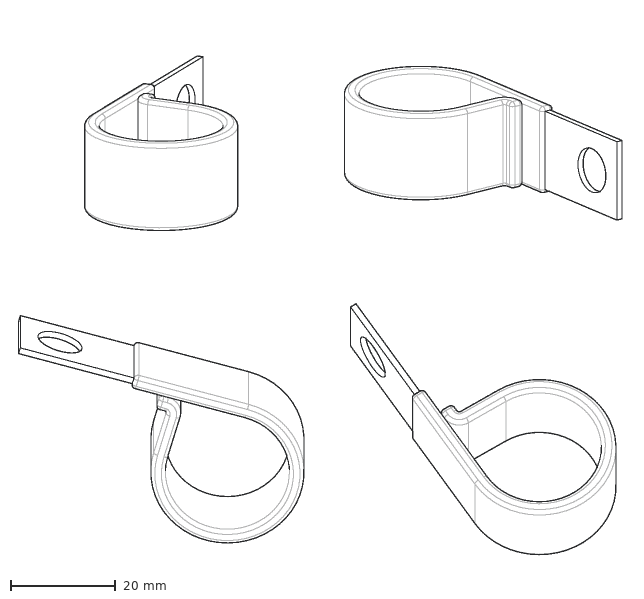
import cadquery as cq
import math

overall_length = 59.9
loop_outer_radius = 14.7
band_height = 17.4
strap_thickness = 1.25
cushion_thickness = 0.8
band_end_y = 22.6

lip_end_y = 16.8
lip_bend_inner_radius = 0.5
lip_gap = 0.05

hole_diameter = 8.75
hole_end_distance = 7.9

band_thickness = strap_thickness + 2 * cushion_thickness
loop_inner_radius = loop_outer_radius - band_thickness
strap_height = band_height - 2 * cushion_thickness
strap_end_y = overall_length - loop_outer_radius
strap_center_x = -(loop_outer_radius + loop_inner_radius) / 2

lip_bend_outer_radius = lip_bend_inner_radius + band_thickness
lip_left_x = -loop_inner_radius + lip_gap
lip_right_x = lip_left_x + band_thickness
bend_center_x = lip_left_x + lip_bend_outer_radius
bend_center_y = loop_outer_radius + lip_bend_inner_radius


def bend_midpoint(radius):
    """Middle of the lip's quarter bend at the given radius."""
    offset = radius * math.sqrt(0.5)
    return (bend_center_x - offset, bend_center_y - offset)


def cushion_band():
    """Leg, three-quarter loop, arm and lip, with every outer edge rounded."""
    diagonal = math.sqrt(0.5)
    outer_mid = (loop_outer_radius * diagonal, -loop_outer_radius * diagonal)
    inner_mid = (loop_inner_radius * diagonal, -loop_inner_radius * diagonal)
    profile = (
        cq.Workplane("XY")
        .workplane(offset=-band_height / 2)
        .moveTo(-loop_outer_radius, band_end_y)
        .lineTo(-loop_outer_radius, 0)
        .threePointArc(outer_mid, (0, loop_outer_radius))
        .lineTo(bend_center_x, loop_outer_radius)
        .threePointArc(bend_midpoint(lip_bend_inner_radius), (lip_right_x, bend_center_y))
        .lineTo(lip_right_x, lip_end_y)
        .lineTo(lip_left_x, lip_end_y)
        .lineTo(lip_left_x, bend_center_y)
        .threePointArc(bend_midpoint(lip_bend_outer_radius), (bend_center_x, loop_inner_radius))
        .lineTo(0, loop_inner_radius)
        .threePointArc(inner_mid, (-loop_inner_radius, 0))
        .lineTo(-loop_inner_radius, band_end_y)
        .close()
    )
    band = profile.extrude(band_height)
    end_edges = band.edges("|Z").edges(">>Y or >>Y[-2]")
    return band.faces("<Z or >Z").edges().add(end_edges).fillet(cushion_thickness)


def mounting_strap():
    """Bare strap beyond the band, pierced by the mounting hole."""
    strap_start_y = band_end_y / 2
    length = strap_end_y - strap_start_y
    strap = cq.Workplane("XY").box(strap_thickness, length, strap_height)
    strap = strap.translate((strap_center_x, strap_start_y + length / 2, 0))
    hole = (
        cq.Workplane("YZ")
        .center(strap_end_y - hole_end_distance, 0)
        .circle(hole_diameter / 2)
        .extrude(2 * loop_outer_radius, both=True)
    )
    return strap.cut(hole)


result = cushion_band().union(mounting_strap())